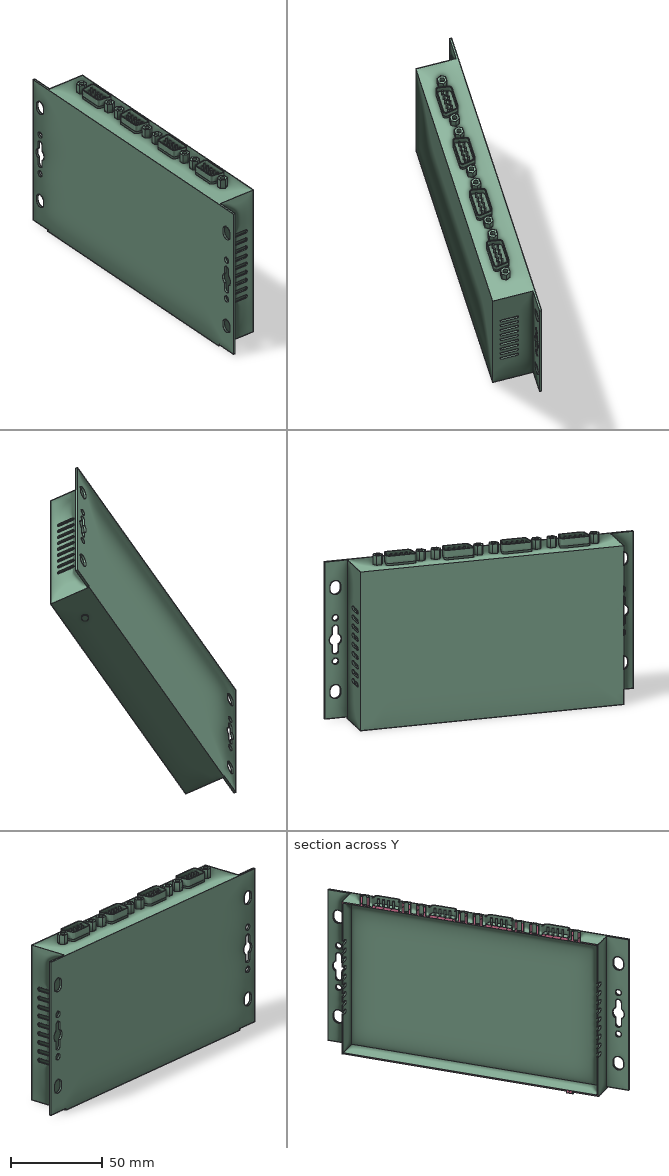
import cadquery as cq
import math

box_width = 152.2
box_depth = 24.25
box_height = 91.6
wall = 1.0

plate_width = 178.4
plate_thickness = 1.2
plate_bottom = wall
plate_height = box_height - plate_bottom
plate_middle = plate_bottom + plate_height / 2

flange_hole_x = 83.0
mount_slot_width = 6.25
mount_slot_length = 8.0
mount_slot_spacing = 60.0
small_hole_diameter = 3.55
small_hole_spacing = 25.0
keyhole_diameter = 7.0
keyhole_slot_width = 3.55
keyhole_slot_length = 16.8

vent_count = 9
vent_pitch = 5.25
vent_length = 10.4
vent_width = 2.2
vent_y = 14.7

connector_count = 4
connector_pitch = 33.5
connector_row_x = -0.1
connector_height = 5.4
shell_width = 17.7
shell_depth = 9.0
shell_thickness = 0.5
insulator_height = 1.0
shell_corner_radius = 1.7
shell_side_angle = 10.0
shell_y = 13.75

pin_diameter = 1.0
pin_height = 5.0
pin_pitch = 2.95
pin_row_spacing = 2.2
long_row_pins = 5
short_row_pins = 4

jackscrew_spacing = 24.75
jackscrew_across_flats = 4.75
jackscrew_across_corners = jackscrew_across_flats / math.cos(math.pi / 6)
jackscrew_hole_diameter = 2.45
jackscrew_y = 13.15

button_diameter = 4.0
button_height = 1.0
button_x = -58.9
button_y = 12.2


def centred_positions(count, pitch):
    """Positions of a row of equally spaced items centred on zero."""
    return [(i - (count - 1) / 2) * pitch for i in range(count)]


def make_box():
    outer = cq.Workplane("XY").box(box_width, box_depth, box_height, centered=(True, False, False))
    cavity = (
        cq.Workplane("XY", origin=(0, plate_thickness, wall))
        .box(
            box_width - 2 * wall,
            box_depth - plate_thickness - wall,
            box_height - 2 * wall,
            centered=(True, False, False),
        )
    )
    return outer.cut(cavity)


def make_plate():
    return (
        cq.Workplane("XY", origin=(0, 0, plate_bottom))
        .box(plate_width, plate_thickness, plate_height, centered=(True, False, False))
    )


def make_flange_openings(x):
    """Two mounting slots, two small holes and a double keyhole, all along one flange."""
    face = cq.Workplane("XZ", origin=(x, 0, plate_middle))
    mount_slots = (
        face.pushPoints([(0, z) for z in centred_positions(2, mount_slot_spacing)])
        .slot2D(mount_slot_length, mount_slot_width, 90)
        .extrude(-plate_thickness)
    )
    small_holes = (
        face.pushPoints([(0, z) for z in centred_positions(2, small_hole_spacing)])
        .circle(small_hole_diameter / 2)
        .extrude(-plate_thickness)
    )
    keyhole = (
        face.slot2D(keyhole_slot_length, keyhole_slot_width, 90)
        .extrude(-plate_thickness)
        .union(face.circle(keyhole_diameter / 2).extrude(-plate_thickness))
    )
    return mount_slots.union(small_holes).union(keyhole)


def make_vents():
    return (
        cq.Workplane("YZ", origin=(-box_width / 2, vent_y, box_height / 2))
        .pushPoints([(0, z) for z in centred_positions(vent_count, vent_pitch)])
        .slot2D(vent_length, vent_width)
        .extrude(box_width)
    )


def make_shell():
    """D-shaped cup with rounded corners, wide side towards +Y, its floor being the insulator."""
    half_depth = shell_depth / 2
    half_top = shell_width / 2
    half_bottom = half_top - shell_depth * math.tan(math.radians(shell_side_angle))
    outline = [
        (-half_bottom, -half_depth),
        (half_bottom, -half_depth),
        (half_top, half_depth),
        (-half_top, half_depth),
    ]
    outer = (
        cq.Workplane("XY", origin=(0, shell_y, 0))
        .polyline(outline)
        .close()
        .extrude(connector_height)
        .edges("|Z")
        .fillet(shell_corner_radius)
    )
    opening = (
        outer.faces("<Z")
        .wires()
        .toPending()
        .offset2D(-shell_thickness)
        .extrude(connector_height, combine=False)
        .translate((0, 0, insulator_height))
    )
    return outer.cut(opening)


def make_jackscrews():
    """Pair of drilled hexagonal posts with corners pointing along X."""
    base = (
        cq.Workplane("XY", origin=(0, jackscrew_y, 0))
        .pushPoints([(x, 0) for x in centred_positions(2, jackscrew_spacing)])
    )
    posts = base.polygon(6, jackscrew_across_corners).extrude(connector_height)
    bores = base.circle(jackscrew_hole_diameter / 2).extrude(connector_height)
    return posts.cut(bores)


def make_pins():
    """A row of five pins on the wide side and a row of four on the narrow side."""
    long_row = [(x, pin_row_spacing / 2) for x in centred_positions(long_row_pins, pin_pitch)]
    short_row = [(x, -pin_row_spacing / 2) for x in centred_positions(short_row_pins, pin_pitch)]
    return (
        cq.Workplane("XY", origin=(0, shell_y, 0))
        .pushPoints(long_row + short_row)
        .circle(pin_diameter / 2)
        .extrude(pin_height)
    )


def make_connector():
    """One connector standing on Z = 0 and centred on X = 0."""
    return make_shell().union(make_pins()).union(make_jackscrews())


def make_button():
    return (
        cq.Workplane("XY", origin=(button_x, button_y, -button_height))
        .circle(button_diameter / 2)
        .extrude(button_height)
    )


result = make_box().cut(make_vents()).union(make_plate())
for side in (-1, 1):
    result = result.cut(make_flange_openings(side * flange_hole_x))
connector = make_connector()
for x in centred_positions(connector_count, connector_pitch):
    result = result.union(connector.translate((connector_row_x + x, 0, box_height)))
result = result.union(make_button())